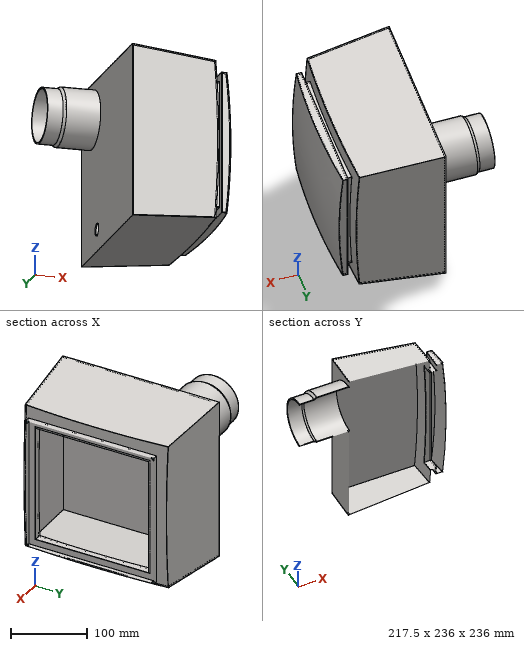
import cadquery as cq
import math

SHEET = 1.5

HOUSING_BACK = 236.0
HOUSING_FRONT = 216.0
HOUSING_CORNER_X = 116.7
HOUSING_DOME_RADIUS = 1420.0

NECK_SIDE = 173.0

COVER_SIDE = 193.0
COVER_BACK_X = 128.0
COVER_FRONT_X = 146.0
COVER_DOME_RADIUS = 885.0

SPIGOT_OFFSET = 69.0
SPIGOT_DIAMETER = 80.0
SPIGOT_TIP_DIAMETER = 75.0
SPIGOT_WALL = 2.0
SPIGOT_LENGTH = 71.5
TIP_LENGTH = 21.0
STEP_LENGTH = 4.0

CABLE_HOLE_DIAMETER = 17.0
CABLE_HOLE_Y = 47.0
CABLE_HOLE_Z = -88.0


def square_bar(side, start_x, end_x):
    """Square bar along X, centred on the housing axis."""
    return cq.Workplane("YZ").workplane(offset=start_x).rect(side, side).extrude(end_x - start_x)


def dome_drop(radius, distance):
    """How far a dome falls back at the given distance from its axis."""
    return radius - math.sqrt(radius**2 - distance**2)


def domed_plug(apex_x, radius):
    """Round plug on the housing axis, wider than the housing, with a spherical front at apex_x."""
    rim_radius = HOUSING_BACK
    half_rim = rim_radius / 2
    profile = (
        cq.Workplane("XY")
        .moveTo(0, 0)
        .lineTo(0, -rim_radius)
        .lineTo(apex_x - dome_drop(radius, rim_radius), -rim_radius)
        .threePointArc((apex_x - dome_drop(radius, half_rim), -half_rim), (apex_x, 0))
        .close()
    )
    return profile.revolve(360, (0, 0, 0), (1, 0, 0))


HOUSING_APEX_X = HOUSING_CORNER_X + dome_drop(HOUSING_DOME_RADIUS, HOUSING_FRONT / math.sqrt(2))
TAPER = (HOUSING_BACK - HOUSING_FRONT) / HOUSING_CORNER_X


def tapered_block(inset):
    """Housing form with every face moved inward by inset."""
    back_x = inset
    front_x = HOUSING_APEX_X + SHEET
    back_side = HOUSING_BACK - TAPER * back_x - 2 * inset
    front_side = HOUSING_BACK - TAPER * front_x - 2 * inset
    frustum = (
        cq.Workplane("YZ")
        .workplane(offset=back_x)
        .rect(back_side, back_side)
        .workplane(offset=front_x - back_x)
        .rect(front_side, front_side)
        .loft(ruled=True)
    )
    return frustum.intersect(domed_plug(HOUSING_APEX_X - inset, HOUSING_DOME_RADIUS - inset))


def cover_block(inset):
    """Cover form with every face moved inward by inset."""
    bar = square_bar(COVER_SIDE - 2 * inset, COVER_BACK_X + inset, COVER_FRONT_X + SHEET)
    return bar.intersect(domed_plug(COVER_FRONT_X - inset, COVER_DOME_RADIUS - inset))


def spigot_form(inset):
    """Stepped pipe form, reduced in radius by inset and reaching through the back wall."""
    tip_x = -SPIGOT_LENGTH
    step_x = tip_x + TIP_LENGTH
    main_x = step_x + STEP_LENGTH
    tip_radius = SPIGOT_TIP_DIAMETER / 2 - inset
    main_radius = SPIGOT_DIAMETER / 2 - inset
    profile = [
        (tip_x, 0),
        (tip_x, tip_radius),
        (step_x, tip_radius),
        (main_x, main_radius),
        (SHEET, main_radius),
        (SHEET, 0),
    ]
    form = cq.Workplane("XZ").polyline(profile).close().revolve(360, (0, 0, 0), (1, 0, 0))
    return form.translate((0, SPIGOT_OFFSET, SPIGOT_OFFSET))


def cable_hole():
    """Round cutter as deep as the back wall."""
    drill = cq.Workplane("YZ").center(CABLE_HOLE_Y, CABLE_HOLE_Z)
    return drill.circle(CABLE_HOLE_DIAMETER / 2).extrude(SHEET)


neck_start_x = HOUSING_CORNER_X - 2 * SHEET
neck = square_bar(NECK_SIDE, neck_start_x, COVER_BACK_X)
neck_bore = square_bar(NECK_SIDE - 2 * SHEET, neck_start_x, COVER_BACK_X + SHEET)

outside = tapered_block(0).union(neck).union(cover_block(0)).union(spigot_form(0))
result = (
    outside.cut(tapered_block(SHEET))
    .cut(neck_bore)
    .cut(cover_block(SHEET))
    .cut(spigot_form(SPIGOT_WALL))
    .cut(cable_hole())
)